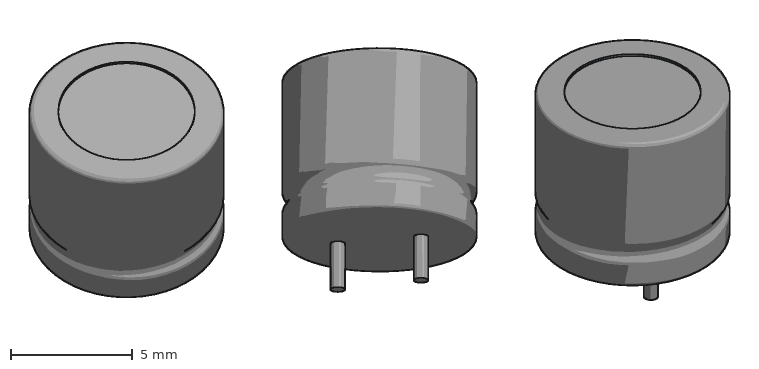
import cadquery as cq
import math

can_diameter = 8.0
can_radius = can_diameter / 2
total_height = 9
long_pin_length = 2.0
can_height = total_height - long_pin_length
rim_radius = 0.2

groove_height = 1.61
groove_depth = 0.2
groove_radius = 0.5
blend_radius = 0.3

recess_diameter = 5.6
recess_depth = 0.1

pin_diameter = 0.6
pin_spacing = 3.52
short_pin_length = 1.9
pin_lengths = {-pin_spacing / 2: long_pin_length, pin_spacing / 2: short_pin_length}


def make_can():
    """Revolve the half profile of the can, base at z = 0."""
    centre_distance = groove_radius + blend_radius
    blend_angle = math.acos((centre_distance - groove_depth) / centre_distance)
    half_width = centre_distance * math.sin(blend_angle)
    joint_radius = can_radius - blend_radius * (1 - math.cos(blend_angle))
    joint_offset = groove_radius * math.sin(blend_angle)
    middle_radius = can_radius - blend_radius * (1 - math.cos(blend_angle / 2))
    middle_offset = half_width - blend_radius * math.sin(blend_angle / 2)

    profile = (
        cq.Workplane("XZ")
        .lineTo(can_radius, 0)
        .lineTo(can_radius, groove_height - half_width)
        .threePointArc(
            (middle_radius, groove_height - middle_offset),
            (joint_radius, groove_height - joint_offset),
        )
        .threePointArc(
            (can_radius - groove_depth, groove_height),
            (joint_radius, groove_height + joint_offset),
        )
        .threePointArc(
            (middle_radius, groove_height + middle_offset),
            (can_radius, groove_height + half_width),
        )
        .lineTo(can_radius, can_height)
        .lineTo(0, can_height)
        .close()
    )
    can = profile.revolve(360, (0, 0), (0, 1))
    return can.faces("<Z or >Z").edges().fillet(rim_radius)


def cut_recess(can):
    return can.faces(">Z").workplane().circle(recess_diameter / 2).cutBlind(-recess_depth)


def make_pin(x, length):
    return cq.Workplane("XY").center(x, 0).circle(pin_diameter / 2).extrude(-length)


result = cut_recess(make_can())
for pin_x, pin_length in pin_lengths.items():
    result = result.union(make_pin(pin_x, pin_length))